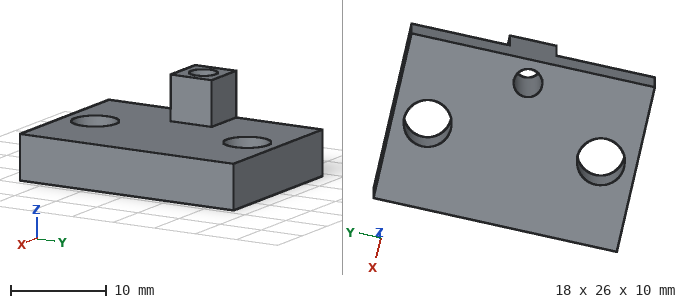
import cadquery as cq

plate_width = 18.0
plate_length = 26.0
total_height = 10.0
plate_thickness = total_height / 2

post_side = 5.0
post_height = total_height - plate_thickness
post_x = (post_side - plate_width) / 2

mounting_hole_diameter = 5.0
mounting_hole_spacing = 18.5
post_hole_diameter = 3.0


def make_plate():
    """Plate centred on the Z axis with its underside at Z = 0."""
    return (
        cq.Workplane("XY")
        .box(plate_width, plate_length, plate_thickness, centered=(True, True, False))
        .faces(">Z")
        .workplane()
        .rarray(0.25, mounting_hole_spacing, 1, 2)
        .hole(mounting_hole_diameter)
    )


def make_post():
    """Square post standing on the plate."""
    return (
        cq.Workplane("XY", origin=(post_x, 0, plate_thickness))
        .box(post_side, post_side, post_height, centered=(True, True, False))
    )


def make_post_hole():
    """Cutter for the hole running down through the post and the plate."""
    return (
        cq.Workplane("XY", origin=(post_x, 0, 0))
        .circle(post_hole_diameter / 2)
        .extrude(total_height)
    )


result = make_plate().union(make_post()).cut(make_post_hole())